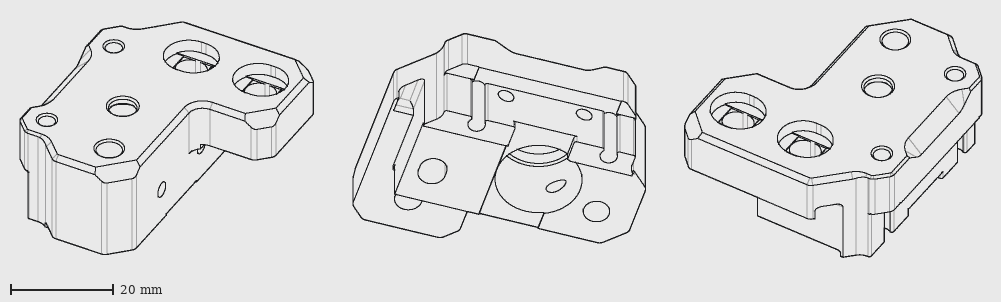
import cadquery as cq
import math

LENGTH_X, LENGTH_Y, HEIGHT = 43.4, 51.25, 21.4

STEM_RIGHT = 27.6
ARM_FRONT = 29.25
NOTCH_FRONT, NOTCH_BACK = 4.7, 43.75
FRONT_SLANT_X, BACK_SLANT_X = 11.8, 12.6
CORNER_LEG = 2.95
STEM_CORNER_LEG = 4.45
OUTER_RADIUS, INNER_RADIUS = 1.5, 3.0

TOP_CHAMFER = 1.0
LEFT_CHAMFER = 0.5
CORNER_BEVEL = 2.45

UNDERSIDE_Z = 11.45
OVERHANG_END_RISE = 0.15
OVERHANG_END_OFFSET = 14.55
BODY_LEFT, BODY_BACK = 3.4, 46.55
BODY_BOTTOM = 1.4
FOOT_RIGHT, FOOT_FRONT = 8.45, 3.95
FOOT_FILLET = 0.6
EDGE_ROUND = 0.45
LEDGE_RIGHT, LEDGE_BOTTOM = 28.85, 10.4

RAIL_Y = 23.25
MOUNT_X, MOUNT_SPACING = 5.0, 27.0
MOUNT_HOLE, MOUNT_RIM = 3.4, 4.2
GROOVE_WIDTH = 2.65
CROSS_HOLE, CROSS_Z, CROSS_SPACING = 3.2, 8.9, 16.0
WINDOW_WIDTH, WINDOW_HEIGHT = 12.1, 1.7

SCALLOP_DEPTH = 2.95
SCALLOP_FLAT = 13.95
SCALLOP_RADIUS = 4.9

PIVOT_X, PIVOT_Y, PIVOT_HOLE, PIVOT_RIM = 15.9, 20.75, 5.6, 6.45
PIVOT_BORES = ((8.0, 1.45), (15.5, 2.55), (17.0, 5.5))
PIN_X, PIN_Y, PIN_HOLE, PIN_RIM = 20.15, 7.6, 5.2, 6.0

SEAT_X, SEAT_Y, SEAT_PITCH = 19.9, 41.2, 15.5
SEAT_TRAVEL = 1.0
SEAT_WIDTH, SCREW_WIDTH = 10.05, 5.4
SEAT_DEPTH, SEAT_STEP = 2.65, 0.2

POCKET_BACK, POCKET_RIGHT, POCKET_TOP = 50.5, 15.35, 14.4
POCKET_FILLET = 1.0


def box(x0, x1, y0, y1, z0, z1):
    return cq.Workplane("XY").box(x1 - x0, y1 - y0, z1 - z0, centered=False).translate((x0, y0, z0))


def outline_prism(growth=0.0):
    """Plan outline as a full-height prism; growth pushes the left group of sides outward."""
    left = -growth
    front, back = NOTCH_FRONT - growth, NOTCH_BACK + growth
    leg = CORNER_LEG + growth * (2 - math.sqrt(2))
    front_notch = (FRONT_SLANT_X - front, front)
    back_notch = (BACK_SLANT_X - (LENGTH_Y - back), back)
    inner_corner = (STEM_RIGHT, ARM_FRONT)
    outer_corners = [
        (left, front + leg),
        (left, back - leg),
        (left + leg, back),
        (BACK_SLANT_X, LENGTH_Y),
        (LENGTH_X - CORNER_LEG, LENGTH_Y),
        (LENGTH_X, LENGTH_Y - CORNER_LEG),
        (LENGTH_X, ARM_FRONT + CORNER_LEG),
        (LENGTH_X - CORNER_LEG, ARM_FRONT),
        (STEM_RIGHT, STEM_CORNER_LEG),
        (STEM_RIGHT - STEM_CORNER_LEG, 0),
        (FRONT_SLANT_X, 0),
        (left + leg, front),
    ]
    points = (outer_corners[:3] + [back_notch] + outer_corners[3:8] + [inner_corner]
              + outer_corners[8:11] + [front_notch] + outer_corners[11:])
    prism = cq.Workplane("XY").polyline(points).close().extrude(HEIGHT)
    for corners, radius in ((outer_corners, OUTER_RADIUS),
                            ((front_notch, back_notch, inner_corner), INNER_RADIUS)):
        for x, y in corners:
            prism = prism.edges(cq.selectors.NearestToPointSelector((x, y, HEIGHT / 2))).fillet(radius)
    return prism


def corner_bevel(x, y, angle):
    """Wedge that bevels the top of a 45 degree side through (x, y) facing the given direction."""
    reach = 2 * CORNER_BEVEL
    width = 4 * STEM_CORNER_LEG
    wedge = (cq.Workplane("XZ").moveTo(-CORNER_BEVEL, 0).lineTo(reach, 0)
             .lineTo(reach, -CORNER_BEVEL - reach).close().extrude(width / 2, both=True))
    return wedge.rotate((0, 0, 0), (0, 0, 1), angle).translate((x, y, HEIGHT))


def rimmed_hole(x, y, diameter, rim):
    hole = cq.Workplane("XY").center(x, y).circle(diameter / 2).extrude(HEIGHT)
    depth = (rim - diameter) / 2
    sink = cq.Solid.makeCone(diameter / 2, rim / 2, depth, cq.Vector(x, y, HEIGHT - depth))
    return hole.union(cq.Workplane(sink))


def scallop():
    """Cutter with 45 degree sides: straight, then conical, then running out of the left face."""
    turn = math.radians(45)
    half_flat = SCALLOP_FLAT / 2
    arc_x = SCALLOP_DEPTH - SCALLOP_RADIUS * (1 - math.cos(turn))
    arc_y = half_flat + SCALLOP_RADIUS * math.sin(turn)
    mid_x = SCALLOP_DEPTH - SCALLOP_RADIUS * (1 - math.cos(turn / 2))
    mid_y = half_flat + SCALLOP_RADIUS * math.sin(turn / 2)
    outside = -2 * SCALLOP_DEPTH
    run_out = arc_y + arc_x - outside
    return (cq.Workplane("XY")
            .moveTo(outside, -run_out).lineTo(arc_x, -arc_y)
            .threePointArc((mid_x, -mid_y), (SCALLOP_DEPTH, -half_flat))
            .lineTo(SCALLOP_DEPTH, half_flat)
            .threePointArc((mid_x, mid_y), (arc_x, arc_y))
            .lineTo(outside, run_out).close()
            .extrude(-SCALLOP_DEPTH, taper=45)
            .translate((0, RAIL_Y, HEIGHT)))


def slot(x, y, width, z0, z1):
    """Round-ended slot along X that lets the screw travel."""
    return cq.Workplane("XY", origin=(x, y, z0)).slot2D(width + SEAT_TRAVEL, width).extrude(z1 - z0)


def screw_seat(x):
    """Slotted screw hole; the seat narrows to a band and then to a rectangle around the hole."""
    seat_z = HEIGHT - SEAT_DEPTH
    band_z = seat_z - SEAT_STEP
    half_y = SCREW_WIDTH / 2
    half_x = half_y + SEAT_TRAVEL / 2
    band = slot(x, SEAT_Y, SEAT_WIDTH, band_z, seat_z).intersect(
        box(x - SEAT_WIDTH, x + SEAT_WIDTH, SEAT_Y - half_y, SEAT_Y + half_y, band_z, seat_z))
    rectangle = box(x - half_x, x + half_x, SEAT_Y - half_y, SEAT_Y + half_y, band_z - SEAT_STEP, seat_z)
    return (slot(x, SEAT_Y, SEAT_WIDTH, seat_z, HEIGHT).union(band).union(rectangle)
            .union(slot(x, SEAT_Y, SCREW_WIDTH, 0, seat_z)))


def pivot_cut():
    """Rimmed pivot hole above a stack of bores that widen downward and open at the bottom."""
    cutter = rimmed_hole(PIVOT_X, PIVOT_Y, PIVOT_HOLE, PIVOT_RIM)
    for diameter, depth in PIVOT_BORES:
        cutter = cutter.union(
            cq.Workplane("XY").center(PIVOT_X, PIVOT_Y).circle(diameter / 2).extrude(HEIGHT - depth))
    return cutter


cap = outline_prism(TOP_CHAMFER - LEFT_CHAMFER).faces(">Z").edges().chamfer(TOP_CHAMFER)
plate = outline_prism().intersect(cap).intersect(box(0, LENGTH_X, 0, LENGTH_Y, UNDERSIDE_Z, HEIGHT))
overhang_top = UNDERSIDE_Z + OVERHANG_END_RISE
plate = plate.cut(box(0, BODY_LEFT, 0, RAIL_Y - OVERHANG_END_OFFSET, UNDERSIDE_Z, overhang_top))
plate = plate.cut(box(0, BODY_LEFT, RAIL_Y + OVERHANG_END_OFFSET, LENGTH_Y, UNDERSIDE_Z, overhang_top))

stem = outline_prism().intersect(box(BODY_LEFT, STEM_RIGHT, 0, BODY_BACK, 0, overhang_top))
mount_ys = [RAIL_Y - MOUNT_SPACING / 2, RAIL_Y + MOUNT_SPACING / 2]
for y in mount_ys:
    stem = stem.cut(box(0, MOUNT_X, y - GROOVE_WIDTH / 2, y + GROOVE_WIDTH / 2, 0, HEIGHT))
stem = stem.cut(box(0, LENGTH_X, RAIL_Y - WINDOW_WIDTH / 2, RAIL_Y + WINDOW_WIDTH / 2, 0, WINDOW_HEIGHT))
stem = stem.faces("<X").edges("|Z").fillet(EDGE_ROUND)
body = plate.union(stem)

foot_clearance = box(0, LENGTH_X, -LENGTH_Y, LENGTH_Y, 0, BODY_BOTTOM).cut(
    box(0, FOOT_RIGHT, FOOT_FRONT, LENGTH_Y, 0, BODY_BOTTOM))
foot_blend = cq.selectors.BoxSelector(
    (-0.5, FOOT_FRONT - 0.5, BODY_BOTTOM - 0.05), (FOOT_RIGHT + 0.5, LENGTH_Y - 0.5, BODY_BOTTOM + 0.05))
foot_clearance = foot_clearance.edges(foot_blend).fillet(FOOT_FILLET)
body = body.cut(foot_clearance)

ledge = outline_prism().intersect(
    box(STEM_RIGHT, LEDGE_RIGHT, ARM_FRONT - INNER_RADIUS, BODY_BACK, LEDGE_BOTTOM, UNDERSIDE_Z))
body = body.union(ledge)

pocket = box(0, POCKET_RIGHT, BODY_BACK, POCKET_BACK, 0, POCKET_TOP)
body = body.cut(pocket.edges(">Z").fillet(POCKET_FILLET))

body = body.cut(corner_bevel(LENGTH_X - CORNER_LEG / 2, LENGTH_Y - CORNER_LEG / 2, 45))
body = body.cut(corner_bevel(LENGTH_X - CORNER_LEG / 2, ARM_FRONT + CORNER_LEG / 2, -45))
body = body.cut(corner_bevel(STEM_RIGHT - STEM_CORNER_LEG / 2, STEM_CORNER_LEG / 2, -45))
body = body.cut(scallop())

for y in mount_ys:
    body = body.cut(rimmed_hole(MOUNT_X, y, MOUNT_HOLE, MOUNT_RIM))
for y in (RAIL_Y - CROSS_SPACING / 2, RAIL_Y + CROSS_SPACING / 2):
    body = body.cut(cq.Workplane("YZ").center(y, CROSS_Z).circle(CROSS_HOLE / 2).extrude(LENGTH_X))
body = body.cut(pivot_cut())
body = body.cut(rimmed_hole(PIN_X, PIN_Y, PIN_HOLE, PIN_RIM))
for x in (SEAT_X, SEAT_X + SEAT_PITCH):
    body = body.cut(screw_seat(x))

result = body